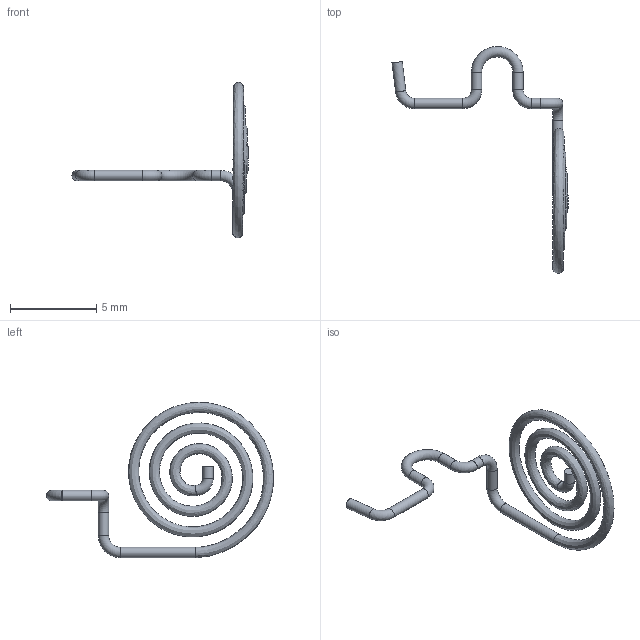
import cadquery as cq
import math

wire_radius = 0.3

arm_bend = 0.8
loop_radius = 1.2
loop_side_length = 1.0
arm_long_straight = 2.8
arm_short_straight = 0.5
free_end_length = 1.7
free_end_lean = math.radians(7)

corner_bend = 1.0
drop_height = 3.3
base_straight = 4.35

spiral_turns = 3
spiral_pitch = 1.2
spiral_drift = 0.1
spiral_outer_radius = 4.5
spiral_samples_per_turn = 24

tip_bend = 0.7
tip_length = 0.7

arm_end_x = -corner_bend
loop_right_x = arm_end_x - arm_short_straight - arm_bend
loop_left_x = loop_right_x - 2 * loop_radius
long_straight_right_x = loop_left_x - arm_bend
long_straight_left_x = long_straight_right_x - arm_long_straight
loop_start_y = arm_bend + loop_side_length

spiral_center_y = -corner_bend - base_straight
spiral_center_z = spiral_outer_radius - drop_height
spiral_inner_radius = spiral_outer_radius - spiral_turns * spiral_pitch
spiral_inner_x = spiral_turns * spiral_drift
spiral_inner_z = spiral_center_z - spiral_inner_radius


def wire_section(normal, center):
    """Round wire cross-section, perpendicular to normal."""
    return cq.Workplane(cq.Plane(origin=center, normal=normal)).circle(wire_radius)


def make_arm():
    bend_angle = math.pi / 2 - free_end_lean
    free_bend_x = long_straight_left_x - arm_bend * math.sin(bend_angle)
    free_bend_y = arm_bend * (1 - math.cos(bend_angle))
    free_end_x = free_bend_x - free_end_length * math.sin(free_end_lean)
    free_end_y = free_bend_y + free_end_length * math.cos(free_end_lean)
    path = (
        cq.Workplane("XY")
        .moveTo(arm_end_x, 0)
        .lineTo(arm_end_x - arm_short_straight, 0)
        .tangentArcPoint((loop_right_x, arm_bend), relative=False)
        .lineTo(loop_right_x, loop_start_y)
        .tangentArcPoint((loop_left_x, loop_start_y), relative=False)
        .lineTo(loop_left_x, arm_bend)
        .tangentArcPoint((long_straight_right_x, 0), relative=False)
        .lineTo(long_straight_left_x, 0)
        .tangentArcPoint((free_bend_x, free_bend_y), relative=False)
        .lineTo(free_end_x, free_end_y)
    )
    return wire_section((-1, 0, 0), (arm_end_x, 0, 0)).sweep(path)


def make_corner():
    path = cq.Workplane("XZ").moveTo(-corner_bend, 0).radiusArc((0, -corner_bend), corner_bend)
    return wire_section((1, 0, 0), (-corner_bend, 0, 0)).sweep(path)


def make_drop_leg_and_base():
    path = (
        cq.Workplane("YZ")
        .moveTo(0, -corner_bend)
        .lineTo(0, corner_bend - drop_height)
        .tangentArcPoint((-corner_bend, -drop_height), relative=False)
        .lineTo(spiral_center_y, -drop_height)
    )
    return wire_section((0, 0, -1), (0, 0, -corner_bend)).sweep(path)


def spiral_point(turns):
    """Axis point of the spiral after a number of turns from its outer, lowest end."""
    angle = 2 * math.pi * turns
    radius = spiral_outer_radius - spiral_pitch * turns
    return (
        spiral_drift * turns,
        spiral_center_y - radius * math.sin(angle),
        spiral_center_z - radius * math.cos(angle),
    )


def make_spiral():
    path = cq.Workplane("XY").parametricCurve(
        spiral_point, N=spiral_turns * spiral_samples_per_turn, start=0, stop=spiral_turns
    )
    spiral = wire_section((0, -1, 0), spiral_point(0)).sweep(path, isFrenet=True)
    kink_ball = cq.Workplane("XY", origin=spiral_point(spiral_turns)).sphere(wire_radius)
    return spiral.union(kink_ball)


def make_tip():
    tip_y = spiral_center_y - tip_bend
    bend_end_z = spiral_inner_z + tip_bend
    path = (
        cq.Workplane("YZ", origin=(spiral_inner_x, 0, 0))
        .moveTo(spiral_center_y, spiral_inner_z)
        .radiusArc((tip_y, bend_end_z), tip_bend)
        .lineTo(tip_y, bend_end_z + tip_length)
    )
    return wire_section((0, -1, 0), (spiral_inner_x, spiral_center_y, spiral_inner_z)).sweep(path)


result = (
    make_arm()
    .union(make_corner())
    .union(make_drop_leg_and_base())
    .union(make_spiral())
    .union(make_tip())
)